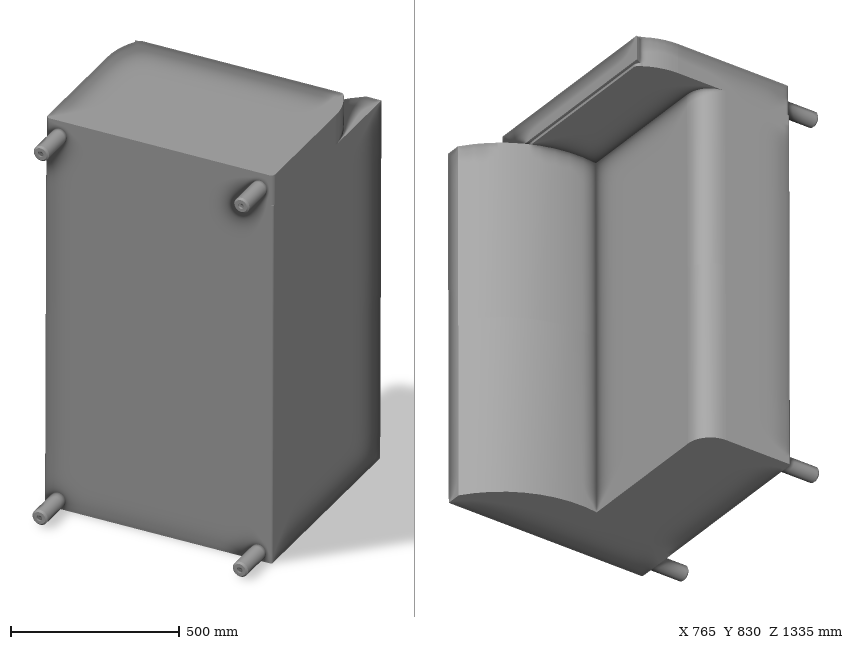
import cadquery as cq
import math


OVERALL_X = 765.0
OVERALL_Z = 1335.0
TILT_DEG = 0.2
TILT = math.radians(TILT_DEG)

WIDTH = (OVERALL_X * math.cos(TILT) - OVERALL_Z * math.sin(TILT)) / math.cos(2 * TILT)
HEIGHT = (OVERALL_Z * math.cos(TILT) - OVERALL_X * math.sin(TILT)) / math.cos(2 * TILT)
LEFT = -WIDTH / 2
RIGHT = WIDTH / 2

ARM_THICKNESS = 103.0
ARM_DEPTH = 535.0
ARM_SIDE_DEPTH = 409.0
ARM_SHOULDER_RADIUS = 214.0
ARM_SHOULDER_DEPTH = 518.0
ARM_CORNER_RUN = 20.0
ARM_BASE_FILLET = 13.0
ARM_BOTTOM = HEIGHT - ARM_THICKNESS

PAD_THICKNESS = 10.0
PAD_LENGTH = 689.0
PAD_LEFT_INSET = 20.0
PAD_Z_INSET = 10.0
PAD_LIP_DROP = 13.0
PAD_LIP_RUN = 12.0
PAD_LIP_WIDTH = 48.0

MODULE_COUNT = 2
MODULE_HEIGHT = ARM_BOTTOM / MODULE_COUNT
SEAT_DEPTH = 318.0
SEAT_NOSE_RADIUS = 81.0
BACK_DEPTH = 708.0
BACK_TOP_WIDTH = 51.0
BACK_CURVE_RADIUS = 406.0
BACK_CURVE_CENTER_Y = 380.0
MODULE_BASE_FILLET = 7.0

LEG_LENGTH = 122.0
LEG_DIAMETER = 51.0
LEG_EDGE_CHAMFER = 5.0
LEG_SIDE_INSET = 45.0
LEG_TOP_INSET = 52.0
LEG_BOTTOM_INSET = 30.0
RECESS_DIAMETER = 19.0
RECESS_DEPTH = 7.0
BORE_DIAMETER = 7.9
BORE_DEPTH = 20.0


def extrude_up(profile, bottom, height):
    """Extrude a closed XY profile upward from the given Z level."""
    return profile.extrude(height).translate((0, 0, bottom))


def make_arm():
    """Block with symmetric curved shoulders and rounded base edges."""
    def shoulder_inset(depth):
        rise = depth - ARM_SIDE_DEPTH
        return ARM_SHOULDER_RADIUS - math.sqrt(ARM_SHOULDER_RADIUS**2 - rise**2)

    middle_depth = (ARM_SIDE_DEPTH + ARM_SHOULDER_DEPTH) / 2
    middle_x = RIGHT - shoulder_inset(middle_depth)
    shoulder_x = RIGHT - shoulder_inset(ARM_SHOULDER_DEPTH)
    face_x = shoulder_x - ARM_CORNER_RUN
    profile = (
        cq.Workplane("XY")
        .moveTo(0, ARM_DEPTH)
        .lineTo(face_x, ARM_DEPTH)
        .tangentArcPoint((shoulder_x, ARM_SHOULDER_DEPTH), relative=False)
        .threePointArc((middle_x, middle_depth), (RIGHT, ARM_SIDE_DEPTH))
        .lineTo(RIGHT, 0)
        .lineTo(0, 0)
        .mirrorY()
    )
    block = extrude_up(profile, ARM_BOTTOM, ARM_THICKNESS)
    return block.faces("<Y").edges("|Z").fillet(ARM_BASE_FILLET)


def make_pad(arm):
    """Thin pad on the arm face, with a lip that hugs the left shoulder."""
    pad_left = LEFT + PAD_LEFT_INSET
    pad_right = pad_left + PAD_LENGTH
    profile = (
        cq.Workplane("XY")
        .moveTo(pad_left, ARM_DEPTH + PAD_THICKNESS)
        .lineTo(pad_right, ARM_DEPTH + PAD_THICKNESS)
        .lineTo(pad_right, ARM_DEPTH)
        .lineTo(pad_left + PAD_LIP_WIDTH, ARM_DEPTH)
        .lineTo(pad_left + PAD_LIP_RUN, ARM_DEPTH - PAD_LIP_DROP)
        .close()
    )
    pad = extrude_up(profile, ARM_BOTTOM + PAD_Z_INSET, ARM_THICKNESS - 2 * PAD_Z_INSET)
    return pad.cut(arm)


def make_module(bottom):
    """Seat with a rounded nose and a backrest with a bulging front."""
    back_top_x = RIGHT - BACK_TOP_WIDTH
    top_rise = BACK_DEPTH - BACK_CURVE_CENTER_Y
    seat_drop = BACK_CURVE_CENTER_Y - SEAT_DEPTH
    center_x = back_top_x + math.sqrt(BACK_CURVE_RADIUS**2 - top_rise**2)
    seat_end_x = center_x - math.sqrt(BACK_CURVE_RADIUS**2 - seat_drop**2)
    profile = (
        cq.Workplane("XY")
        .moveTo(LEFT, 0)
        .lineTo(RIGHT, 0)
        .lineTo(RIGHT, BACK_DEPTH)
        .lineTo(back_top_x, BACK_DEPTH)
        .threePointArc((center_x - BACK_CURVE_RADIUS, BACK_CURVE_CENTER_Y), (seat_end_x, SEAT_DEPTH))
        .lineTo(LEFT + SEAT_NOSE_RADIUS, SEAT_DEPTH)
        .radiusArc((LEFT, SEAT_DEPTH - SEAT_NOSE_RADIUS), -SEAT_NOSE_RADIUS)
        .close()
    )
    module = extrude_up(profile, bottom, MODULE_HEIGHT)
    return module.faces("<Y").edges("|Z").fillet(MODULE_BASE_FILLET)


def make_leg(x, z):
    """Round leg pointing toward -Y, with a stepped screw recess in its end."""
    leg = cq.Workplane("XZ").circle(LEG_DIAMETER / 2).extrude(LEG_LENGTH)
    leg = leg.faces("<Y").chamfer(LEG_EDGE_CHAMFER)
    leg = leg.faces("<Y").workplane().cboreHole(BORE_DIAMETER, RECESS_DIAMETER, RECESS_DEPTH, BORE_DEPTH)
    return leg.translate((x, 0, z))


arm = make_arm()
pad = make_pad(arm)
modules = [make_module(index * MODULE_HEIGHT) for index in range(MODULE_COUNT)]
legs = [
    make_leg(x, z)
    for x in (LEFT + LEG_SIDE_INSET, RIGHT - LEG_SIDE_INSET)
    for z in (LEG_BOTTOM_INSET, HEIGHT - LEG_TOP_INSET)
]

bodies = [arm, pad, *modules, *legs]
result = cq.Compound.makeCompound(
    [body.rotate((0, 0, 0), (0, 1, 0), TILT_DEG).solids().val() for body in bodies]
)